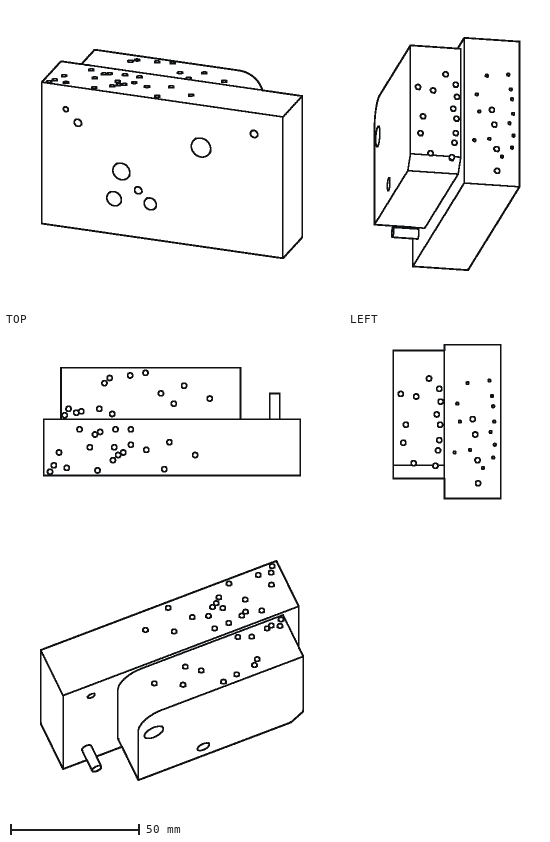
import cadquery as cq

PLATE_LENGTH = 100.0
PLATE_DEPTH = 22.0
PLATE_HEIGHT = 60.0

BLOCK_LENGTH = 70.0
BLOCK_DEPTH = 20.0
BLOCK_HEIGHT = 50.0
BLOCK_LEFT = 6.7
BLOCK_BOTTOM = 7.8
BLOCK_CORNER_RADIUS = 10.0
BLOCK_CHAMFER = 5.2

STUD_DIAMETER = 4.0
STUD_LENGTH = 10.0
STUD_X = 90.0
STUD_Z = 10.0

DRILL_DIAMETER = 2.0
FINE_DRILL_DIAMETER = 1.0
DRILL_DEPTH = 5.0

PLATE_BORES = [
    (10, 50, 2),
    (15, 45, 3),
    (88, 51, 3),
    (40, 20, 3),
    (33, 27, 7),
    (30, 15, 6),
    (45, 15, 5),
    (66, 42, 8),
]

BORE_SHIFT = 4.1
BLOCK_BORES = [(x + BORE_SHIFT, z, diameter) for x, z, diameter in PLATE_BORES[-2:]]

PLATE_TOP_HOLES = [
    (2.5, 1.5), (4, 4), (6, 9), (9, 3), (14, 18), (18, 11), (20, 16),
    (21, 2), (22, 17), (27, 6), (27.5, 11), (28, 18), (29, 8), (31, 9),
    (34, 12), (34, 18), (40, 10), (47, 2.5), (49, 13), (59, 8),
]

PLATE_END_HOLES = [(11, 31), (10, 25), (9.1, 15), (8.9, 6)]
PLATE_END_FINE_HOLES = [
    (2.4, 21), (2.6, 30), (3, 16), (3, 36), (3.5, 40), (4, 26), (4.5, 46),
    (7, 12), (12, 19), (13, 45), (16, 30), (17, 37), (18, 18),
]

BLOCK_TOP_HOLES = [
    (1.5, 1.5), (3, 4), (6, 2.5), (8, 3), (15, 4), (17, 14), (19, 16),
    (20, 2), (27, 17), (33, 18), (39, 10), (44, 6), (48, 13), (58, 8),
]

BLOCK_END_HOLES = [
    (1.7, 21), (1.5, 30), (2, 15), (2, 35), (2.5, 11), (3, 25), (3.5, 5),
    (6, 39), (11, 32), (12, 6), (15, 21), (16, 14), (17, 33),
]


def box_at(corner, length, depth, height):
    """A box whose lower front left corner is at the given point."""
    return cq.Workplane("XY").box(length, depth, height, centered=False).translate(corner)


def bore_through(body, bores, front_y, depth):
    """Cut bores along Y through a body whose front face is at front_y."""
    for x, z, diameter in bores:
        bore = cq.Solid.makeCylinder(diameter / 2, depth, cq.Vector(x, front_y, z), cq.Vector(0, 1, 0))
        body = body.cut(cq.Workplane(bore))
    return body


def drill(body, entry_points, direction, diameter):
    """Cut equal blind holes into a body from the given points on its surface."""
    for point in entry_points:
        hole = cq.Solid.makeCylinder(diameter / 2, DRILL_DEPTH, cq.Vector(*point), cq.Vector(*direction))
        body = body.cut(cq.Workplane(hole))
    return body


def drill_top(body, corner, height, holes):
    """Drill downwards at (x, y) places measured from the body's corner."""
    left, front, bottom = corner
    points = [(left + x, front + y, bottom + height) for x, y in holes]
    return drill(body, points, (0, 0, -1), DRILL_DIAMETER)


def drill_end(body, corner, holes, diameter):
    """Drill into the left end at (y, z) places measured from the body's corner."""
    left, front, bottom = corner
    points = [(left, front + y, bottom + z) for y, z in holes]
    return drill(body, points, (1, 0, 0), diameter)


def make_plate():
    """Drilled plate with its locating stud."""
    corner = (0, 0, 0)
    body = box_at(corner, PLATE_LENGTH, PLATE_DEPTH, PLATE_HEIGHT)
    body = bore_through(body, PLATE_BORES, 0, PLATE_DEPTH)
    body = drill_top(body, corner, PLATE_HEIGHT, PLATE_TOP_HOLES)
    body = drill_end(body, corner, PLATE_END_HOLES, DRILL_DIAMETER)
    body = drill_end(body, corner, PLATE_END_FINE_HOLES, FINE_DRILL_DIAMETER)
    stud_base = cq.Vector(STUD_X, PLATE_DEPTH, STUD_Z)
    stud = cq.Solid.makeCylinder(STUD_DIAMETER / 2, STUD_LENGTH, stud_base, cq.Vector(0, 1, 0))
    return body.union(cq.Workplane(stud))


def make_block():
    """Drilled block with one rounded and one chamfered edge."""
    corner = (BLOCK_LEFT, PLATE_DEPTH, BLOCK_BOTTOM)
    body = box_at(corner, BLOCK_LENGTH, BLOCK_DEPTH, BLOCK_HEIGHT)
    body = body.edges("|Y and >X and >Z").fillet(BLOCK_CORNER_RADIUS)
    body = body.edges("|Y and <X and <Z").chamfer(BLOCK_CHAMFER)
    body = bore_through(body, BLOCK_BORES, PLATE_DEPTH, BLOCK_DEPTH)
    body = drill_top(body, corner, BLOCK_HEIGHT, BLOCK_TOP_HOLES)
    return drill_end(body, corner, BLOCK_END_HOLES, DRILL_DIAMETER)


plate = make_plate()
block = make_block()

result = cq.Compound.makeCompound([plate.val(), block.val()])